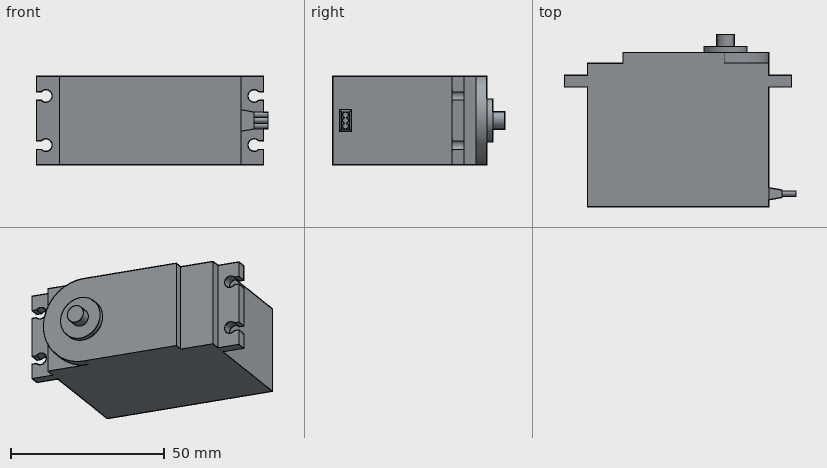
import cadquery as cq
import math


case_length = 58.95
case_depth = 46.7
case_width = 28.8

housing_start = 11.5
housing_depth = 3.5
housing_round = case_width / 2

shaft_x = 44.9
boss_diameter = 14.1
boss_depth = 1.95
shaft_diameter = 5.7
shaft_length = 3.9

ear_length = 7.45
ear_thickness = 3.9
ear_front_gap = 3.9
hole_diameter = 4.0
hole_edge_distance = 3.1
hole_spacing = 16.0
slot_width = 2.7

boot_length = 4.4
boot_thickness = 4.0
boot_width = 7.0
boot_taper = 10.0
cable_y = 4.2
wire_diameter = 1.9
wire_pitch = 1.8
wire_count = 3
wire_length = 4.5

ear_rear = case_depth - ear_front_gap - ear_thickness
housing_front = case_depth + housing_depth


def box(x_start, x_end, y_start, depth, width):
    """Box between two X positions, starting at y_start and centred on Z = 0."""
    return (
        cq.Workplane("XY")
        .box(x_end - x_start, depth, width, centered=(False, False, True))
        .translate((x_start, y_start, 0))
    )


def front_plane(y):
    """Sketch plane facing +Y at the given depth; local Y runs along -Z."""
    return cq.Workplane(cq.Plane(origin=(0, y, 0), xDir=(1, 0, 0), normal=(0, 1, 0)))


def gear_housing():
    """D-shaped block: square at the left, a half circle at the right."""
    round_centre = case_length - housing_round
    return (
        front_plane(case_depth)
        .moveTo(housing_start, -housing_round)
        .lineTo(round_centre, -housing_round)
        .threePointArc((case_length, 0), (round_centre, housing_round))
        .lineTo(housing_start, housing_round)
        .close()
        .extrude(housing_depth)
    )


def output_shaft():
    """Round boss on the housing carrying the shaft."""
    boss = front_plane(housing_front).center(shaft_x, 0).circle(boss_diameter / 2).extrude(boss_depth)
    shaft = (
        front_plane(housing_front)
        .center(shaft_x, 0)
        .circle(shaft_diameter / 2)
        .extrude(boss_depth + shaft_length)
    )
    return boss.union(shaft)


def keyhole(edge_x, inward, z):
    """Screw hole with a slot open to the ear edge; inward is +1 or -1 along X."""
    hole_x = edge_x + inward * hole_edge_distance
    hole = (
        front_plane(ear_rear)
        .center(hole_x, -z)
        .circle(hole_diameter / 2)
        .extrude(ear_thickness)
    )
    slot = box(min(edge_x, hole_x), max(edge_x, hole_x), ear_rear, ear_thickness, slot_width)
    return hole.union(slot.translate((0, 0, z)))


def mounting_ears():
    """Plate through the case that sticks out as an ear at each end."""
    left_edge = -ear_length
    right_edge = case_length + ear_length
    ears = box(left_edge, right_edge, ear_rear, ear_thickness, case_width)
    for edge_x, inward in ((left_edge, 1), (right_edge, -1)):
        for z in (-hole_spacing / 2, hole_spacing / 2):
            ears = ears.cut(keyhole(edge_x, inward, z))
    return ears


def side_plane(x):
    """Sketch plane facing +X, centred on the cable."""
    return cq.Workplane("YZ", origin=(x, cable_y, 0))


def cable():
    """Tapered boot on the right side with a flat row of wires leaving it."""
    boot_end = case_length + boot_length
    shrink = 2 * boot_length * math.tan(math.radians(boot_taper))
    boot = (
        side_plane(case_length)
        .rect(boot_thickness, boot_width)
        .workplane(offset=boot_length)
        .rect(boot_thickness - shrink, boot_width - shrink)
        .loft(ruled=True)
    )
    wires = (
        side_plane(boot_end)
        .rarray(0.75, wire_pitch, 1, wire_count)
        .circle(wire_diameter / 2)
        .extrude(wire_length)
    )
    return boot.union(wires)


result = (
    box(0, case_length, 0, case_depth, case_width)
    .union(gear_housing())
    .union(output_shaft())
    .union(mounting_ears())
    .union(cable())
)